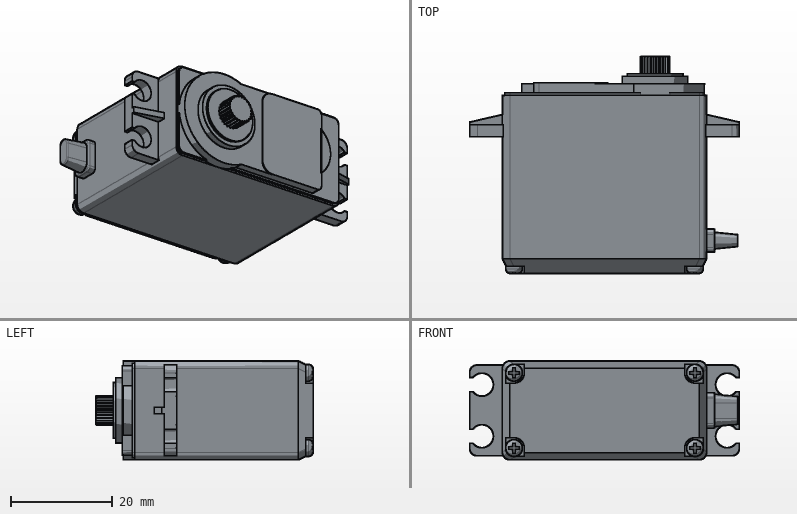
import cadquery as cq
import math

CASE_LENGTH = 40.4
CASE_WIDTH = 19.6
CASE_TOP = 35.3
CASE_CORNER_RADIUS = 1.5

BEVEL_HEIGHT = 2.95
BEVEL_INSET = 1.45

STEP_INSET = 0.45
STEP_TOP = 35.8

FLANGE_LENGTH = 53.4
FLANGE_WIDTH = 18.0
FLANGE_BOTTOM = 27.05
FLANGE_TOP = 29.5
FLANGE_CORNER_RADIUS = 1.5
MOUNT_HOLE_RADIUS = 2.25
MOUNT_HOLE_X = 24.25
MOUNT_HOLE_Z = 5.1
MOUNT_MOUTH_WIDTH = 2.75

GUSSET_THICKNESS = 1.25
GUSSET_WALL_TOP = 31.5
GUSSET_TIP_TOP = 30.0

SHAFT_X = 10.0
GEARBOX_RADIUS = CASE_WIDTH / 2
GEARBOX_TOP = 37.6
PAD_LEFT = -14.0
PAD_HALF_WIDTH = 8.85
PAD_CORNER_RADIUS = 1.0
RAISED_PAD_RIGHT = 0.6
RAISED_PAD_TOP = 37.8
RAISED_PAD_END_RADIUS = 2.4
BULGE_HALF_WIDTH = 4.87
BULGE_LEFT = -16.4

COLLAR_RADIUS = 6.5
COLLAR_TOP = 39.1
RING_RADIUS = 5.55
RING_TOP = 39.6

SHAFT_TIP = 43.04
SHAFT_RADIUS = 2.9
SPLINE_TEETH = 24
SPLINE_DEPTH = 0.3
SPLINE_CHAMFER = 0.16

SCREW_X = 17.9
SCREW_Z = 7.45
SCREW_HEAD_RADIUS = 1.67
SCREW_HEAD_ROUND = 1.0
SCREW_SEAT_Y = 1.5
SCREW_POCKET_RADIUS = 2.05
CROSS_LENGTH = 2.0
CROSS_WIDTH = 0.5
CROSS_DEPTH = 0.6

CABLE_Y = 6.55
GROMMET_HEIGHT = 4.6
GROMMET_WIDTH = 7.0
GROMMET_END = 21.85
GROMMET_CORNER_RADIUS = 1.0
GROMMET_EDGE_ROUND = 0.3
CABLE_END = 26.4
CABLE_HALF_STRAIGHT = 1.55
CABLE_BASE_RADIUS = 1.67
CABLE_TIP_RADIUS = 1.2
CABLE_TIP_ROUND = 0.25


def plane_at(y):
    """Sketch plane facing +Y at height y, with local axes (Z, X)."""
    return cq.Workplane(cq.Plane(origin=(0, y, 0), xDir=(0, 0, 1), normal=(0, 1, 0)))


def block(x_size, z_size, y_low, y_high, x_center=0.0):
    """Rectangular block between two heights, centred on Z = 0."""
    return plane_at(y_low).center(0, x_center).rect(z_size, x_size).extrude(y_high - y_low)


def cylinder(radius, x, z, y_low, y_high):
    """Round column along Y between two heights."""
    return plane_at(y_low).center(z, x).circle(radius).extrude(y_high - y_low)


def make_case():
    """Rounded box with a bevelled back cover and a slightly inset step on top."""
    body = block(CASE_LENGTH, CASE_WIDTH, BEVEL_HEIGHT, CASE_TOP)
    body = body.edges("|Y").fillet(CASE_CORNER_RADIUS)
    back_outline = (
        cq.Sketch()
        .rect(CASE_WIDTH - 2 * BEVEL_INSET, CASE_LENGTH - 2 * BEVEL_INSET)
        .vertices()
        .fillet(CASE_CORNER_RADIUS)
    )
    side_outline = cq.Sketch().rect(CASE_WIDTH, CASE_LENGTH).vertices().fillet(CASE_CORNER_RADIUS)
    raised_outline = side_outline.moved(cq.Location(cq.Vector(0, 0, BEVEL_HEIGHT)))
    cover = plane_at(0).placeSketch(back_outline, raised_outline).loft()
    step = block(CASE_LENGTH - 2 * STEP_INSET, CASE_WIDTH - 2 * STEP_INSET, CASE_TOP, STEP_TOP)
    step = step.edges("|Y").fillet(CASE_CORNER_RADIUS - STEP_INSET)
    return body.union(cover).union(step)


def make_flanges():
    """Mounting ears with open keyhole slots and a central sloped gusset at each end."""
    ears = block(FLANGE_LENGTH, FLANGE_WIDTH, FLANGE_BOTTOM, FLANGE_TOP)
    ears = ears.edges("|Y").fillet(FLANGE_CORNER_RADIUS)
    mouth_length = FLANGE_LENGTH / 2 - MOUNT_HOLE_X
    for side in (-1, 1):
        for z in (-MOUNT_HOLE_Z, MOUNT_HOLE_Z):
            hole = cylinder(MOUNT_HOLE_RADIUS, side * MOUNT_HOLE_X, z, FLANGE_BOTTOM, FLANGE_TOP)
            mouth_x = side * (MOUNT_HOLE_X + mouth_length / 2)
            mouth = block(mouth_length, MOUNT_MOUTH_WIDTH, FLANGE_BOTTOM, FLANGE_TOP, mouth_x)
            mouth = mouth.translate((0, 0, z))
            ears = ears.cut(hole).cut(mouth)
    gussets = (
        cq.Workplane("XY")
        .moveTo(-FLANGE_LENGTH / 2, FLANGE_BOTTOM)
        .lineTo(FLANGE_LENGTH / 2, FLANGE_BOTTOM)
        .lineTo(FLANGE_LENGTH / 2, GUSSET_TIP_TOP)
        .lineTo(CASE_LENGTH / 2, GUSSET_WALL_TOP)
        .lineTo(-CASE_LENGTH / 2, GUSSET_WALL_TOP)
        .lineTo(-FLANGE_LENGTH / 2, GUSSET_TIP_TOP)
        .close()
        .extrude(GUSSET_THICKNESS / 2, both=True)
    )
    return ears.union(gussets)


def make_gearbox():
    """Gear cover on the case top: round boss, flat pad, end bulge and bearing collar."""
    boss = cylinder(GEARBOX_RADIUS, SHAFT_X, 0, CASE_TOP, GEARBOX_TOP)
    pad = block(SHAFT_X - PAD_LEFT, 2 * PAD_HALF_WIDTH, CASE_TOP, GEARBOX_TOP, (SHAFT_X + PAD_LEFT) / 2)
    pad = pad.edges("|Y and <X").fillet(PAD_CORNER_RADIUS)
    raised_length = RAISED_PAD_RIGHT - PAD_LEFT
    raised_x = (RAISED_PAD_RIGHT + PAD_LEFT) / 2
    raised = block(raised_length, 2 * PAD_HALF_WIDTH, CASE_TOP, RAISED_PAD_TOP, raised_x)
    raised = raised.edges("|Y and <X").fillet(PAD_CORNER_RADIUS)
    raised = raised.edges("|Y and >X").fillet(RAISED_PAD_END_RADIUS)
    bulge_depth = PAD_LEFT - BULGE_LEFT
    bulge_radius = (BULGE_HALF_WIDTH ** 2 + bulge_depth ** 2) / (2 * bulge_depth)
    bulge = cylinder(bulge_radius, BULGE_LEFT + bulge_radius, 0, CASE_TOP, GEARBOX_TOP)
    collar = cylinder(COLLAR_RADIUS, SHAFT_X, 0, CASE_TOP, COLLAR_TOP)
    ring = cylinder(RING_RADIUS, SHAFT_X, 0, CASE_TOP, RING_TOP)
    return boss.union(pad).union(raised).union(bulge).union(collar).union(ring)


def make_cable_exit():
    """Rounded grommet on the +X wall with a tapering strain relief."""
    wall_x = CASE_LENGTH / 2
    inside_x = wall_x - CASE_CORNER_RADIUS
    grommet = (
        cq.Workplane("YZ", origin=(inside_x, CABLE_Y, 0))
        .rect(GROMMET_HEIGHT, GROMMET_WIDTH)
        .extrude(GROMMET_END - inside_x)
        .edges("|X").fillet(GROMMET_CORNER_RADIUS)
        .faces(">X").edges().fillet(GROMMET_EDGE_ROUND)
    )
    length = CABLE_END - GROMMET_END
    taper = math.degrees(math.atan((CABLE_BASE_RADIUS - CABLE_TIP_RADIUS) / length))
    relief = (
        cq.Workplane("YZ", origin=(GROMMET_END, CABLE_Y, 0))
        .slot2D(2 * (CABLE_HALF_STRAIGHT + CABLE_BASE_RADIUS), 2 * CABLE_BASE_RADIUS, 90)
        .extrude(length, taper=taper)
        .faces(">X").edges().fillet(CABLE_TIP_ROUND)
    )
    return grommet.union(relief)


def make_screw_pocket():
    """Corner recess whose inner corner is concentric with the screw, in the +X +Z corner."""
    x_inner = SCREW_X - SCREW_POCKET_RADIUS
    z_inner = SCREW_Z - SCREW_POCKET_RADIUS
    x_size = CASE_LENGTH / 2 - x_inner
    z_size = CASE_WIDTH / 2 - z_inner
    return (
        plane_at(0)
        .center(z_inner + z_size / 2, x_inner + x_size / 2)
        .rect(z_size, x_size)
        .extrude(SCREW_SEAT_Y)
        .edges("|Y and <X and <Z").fillet(SCREW_POCKET_RADIUS)
    )


def make_screw_head():
    """Domed head with a cross recess, in the +X +Z corner."""
    head = cylinder(SCREW_HEAD_RADIUS, SCREW_X, SCREW_Z, 0, SCREW_SEAT_Y)
    head = head.faces("<Y").edges().fillet(SCREW_HEAD_ROUND)
    for x_size, z_size in ((CROSS_LENGTH, CROSS_WIDTH), (CROSS_WIDTH, CROSS_LENGTH)):
        arm = block(x_size, z_size, 0, CROSS_DEPTH, SCREW_X).translate((0, 0, SCREW_Z))
        head = head.cut(arm)
    return head


def at_corners(shape):
    """The shape mirrored into all four cover corners."""
    pair = [shape, shape.mirror("YZ")]
    return pair + [copy.mirror("XY") for copy in pair]


def make_housing():
    """Case with its flanges, gear cover, cable exit and four seated cover screws."""
    body = make_case().union(make_flanges()).union(make_gearbox()).union(make_cable_exit())
    for pocket in at_corners(make_screw_pocket()):
        body = body.cut(pocket)
    for head in at_corners(make_screw_head()):
        body = body.union(head)
    return body


def make_output_shaft():
    """Splined output shaft standing on the bearing ring."""
    tooth_angle = 2 * math.pi / SPLINE_TEETH
    outline = []
    for tooth in range(SPLINE_TEETH):
        for radius, angle in (
            (SHAFT_RADIUS, tooth * tooth_angle),
            (SHAFT_RADIUS - SPLINE_DEPTH, (tooth + 0.5) * tooth_angle),
        ):
            outline.append((radius * math.cos(angle), radius * math.sin(angle)))
    teeth = plane_at(RING_TOP).center(0, SHAFT_X).polyline(outline).close().extrude(SHAFT_TIP - RING_TOP)
    envelope = cylinder(SHAFT_RADIUS, SHAFT_X, 0, RING_TOP, SHAFT_TIP)
    envelope = envelope.faces(">Y").edges().chamfer(SPLINE_CHAMFER)
    return teeth.intersect(envelope)


housing = make_housing()
output_shaft = make_output_shaft()
result = cq.Compound.makeCompound([housing.val(), output_shaft.val()])